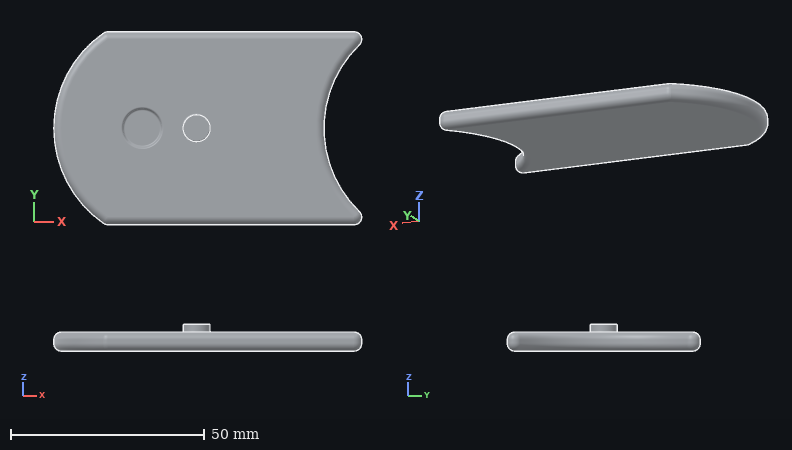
import cadquery as cq
import math

WIDTH = 50.0
THICKNESS = 5.0
END_RADIUS = 30.0
END_SPACING = 70.0
EDGE_FILLET = 2.0

FEATURE_OFFSET = 7.0
PIN_DIAMETER = 7.0
PIN_HEIGHT = 2.0
PIN_FILLET = 0.25
POCKET_DIAMETER = 10.0
POCKET_DEPTH = 1.0
POCKET_FILLET = POCKET_DEPTH / 2


def make_plate():
    """Plate with its bulging arc centred on the Z axis and every edge rounded."""
    half_width = WIDTH / 2
    corner_reach = math.sqrt(END_RADIUS**2 - half_width**2)
    bulge_corner_x = -corner_reach
    hollow_corner_x = END_SPACING - corner_reach

    outline = (
        cq.Workplane("XY")
        .moveTo(bulge_corner_x, -half_width)
        .lineTo(hollow_corner_x, -half_width)
        .threePointArc((END_SPACING - END_RADIUS, 0), (hollow_corner_x, half_width))
        .lineTo(bulge_corner_x, half_width)
        .threePointArc((-END_RADIUS, 0), (bulge_corner_x, -half_width))
        .close()
    )
    plate = outline.extrude(THICKNESS)
    plate = plate.edges("|Z").fillet(EDGE_FILLET)
    return plate.faces("<Z or >Z").edges().fillet(EDGE_FILLET)


def make_flared_disc(diameter, length, fillet, x, direction):
    """Disc on the plate's top face, flared at that face and rounded at its far end.

    A direction of 1 points up out of the plate, -1 points down into it.
    """
    radius = diameter / 2
    arc_inset = fillet * (1 - math.sqrt(0.5))
    straight_end = length - fillet

    profile = (
        cq.Workplane("XZ")
        .lineTo(radius + fillet, 0)
        .threePointArc((radius + arc_inset, direction * arc_inset), (radius, direction * fillet))
    )
    if straight_end > fillet:
        profile = profile.lineTo(radius, direction * straight_end)
    disc = (
        profile
        .threePointArc(
            (radius - arc_inset, direction * (length - arc_inset)),
            (radius - fillet, direction * length),
        )
        .lineTo(0, direction * length)
        .close()
        .revolve(360, (0, 0), (0, 1))
    )
    return disc.translate((x, 0, THICKNESS))


def add_pin(plate):
    """Pin standing on the top face."""
    pin = make_flared_disc(PIN_DIAMETER, PIN_HEIGHT, PIN_FILLET, FEATURE_OFFSET, 1)
    return plate.union(pin)


def cut_pocket(plate):
    """Shallow pocket in the top face, its wall made of the rim and floor roundings alone."""
    pocket = make_flared_disc(POCKET_DIAMETER, POCKET_DEPTH, POCKET_FILLET, -FEATURE_OFFSET, -1)
    return plate.cut(pocket)


result = cut_pocket(add_pin(make_plate()))